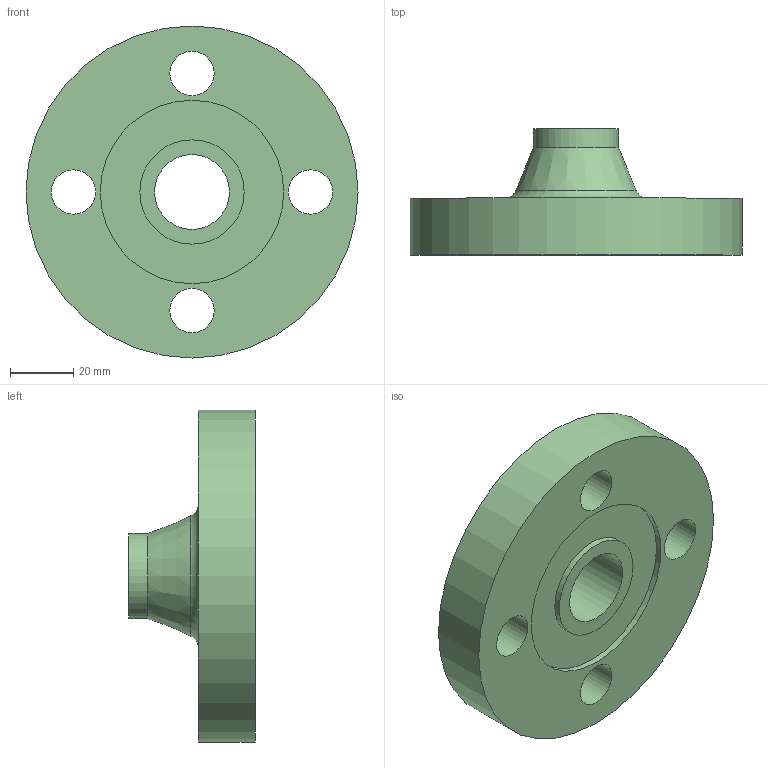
import cadquery as cq

flange_diameter = 105.0
flange_thickness = 18.0
overall_length = 40.0

neck_diameter = 26.9
neck_straight_length = 6.0
hub_base_diameter = 40.0
hub_fillet_radius = 4.0
bore_diameter = 23.7

groove_outer_diameter = 58.0
groove_inner_diameter = 33.0
groove_depth = 2.0

bolt_circle_diameter = 75.0
bolt_hole_diameter = 14.0
bolt_hole_count = 4

face_y = -overall_length / 2
flange_back_y = face_y + flange_thickness
neck_end_y = face_y + overall_length


def cylinder(diameter, start_y, length):
    """Cylinder on the Y axis, running from start_y towards +Y."""
    return (
        cq.Workplane("XZ", origin=(0, start_y, 0))
        .circle(diameter / 2)
        .extrude(-length)
    )


def flange_with_neck():
    """Revolved disc, tapered hub and straight weld end, with the hub root filleted."""
    taper_end_y = neck_end_y - neck_straight_length
    body = (
        cq.Workplane("XY")
        .moveTo(0, face_y)
        .lineTo(flange_diameter / 2, face_y)
        .lineTo(flange_diameter / 2, flange_back_y)
        .lineTo(hub_base_diameter / 2, flange_back_y)
        .lineTo(neck_diameter / 2, taper_end_y)
        .lineTo(neck_diameter / 2, neck_end_y)
        .lineTo(0, neck_end_y)
        .close()
        .revolve(360, (0, 0, 0), (0, 1, 0))
    )
    hub_root = body.faces("|Y").faces(">Y[-2]").edges(cq.selectors.RadiusNthSelector(0))
    return hub_root.fillet(hub_fillet_radius)


def face_groove():
    """Ring-shaped cutter that leaves a raised land around the bore."""
    outer = cylinder(groove_outer_diameter, face_y, groove_depth)
    return outer.cut(cylinder(groove_inner_diameter, face_y, groove_depth))


def bolt_holes():
    """Equally spaced cutters through the full flange thickness."""
    return (
        cq.Workplane("XZ", origin=(0, face_y, 0))
        .polarArray(bolt_circle_diameter / 2, 0, 360, bolt_hole_count)
        .circle(bolt_hole_diameter / 2)
        .extrude(-flange_thickness)
    )


result = (
    flange_with_neck()
    .cut(face_groove())
    .cut(cylinder(bore_diameter, face_y, overall_length))
    .cut(bolt_holes())
)